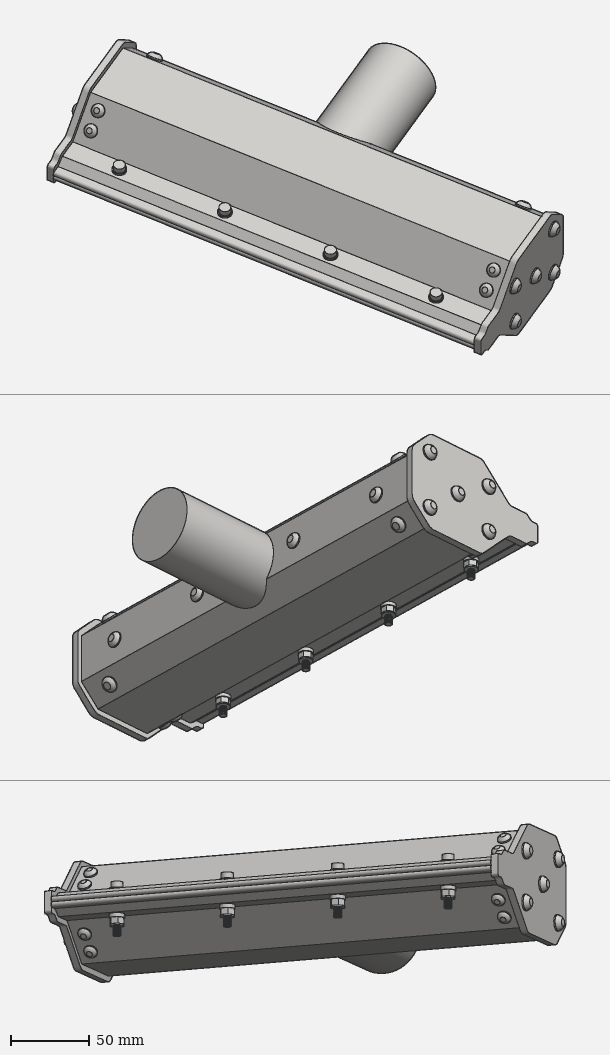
import cadquery as cq
import math

BODY_LENGTH = 304.5
PLATE_THICKNESS = 5.0
PLATE_TOP = 35.5
PLATE_BACK = 39.5
PLATE_TIP = -71.0
PLATE_FRONT_CORNER = -22.3
PLATE_BACK_CHAMFER = 16.0
PLATE_NECK_TOP = 11.3
PLATE_NECK_END = -61.3
PLATE_TIP_TOP = 7.5
PLATE_FILLET = 6.8
NECK_FILLET = 3.2
TIP_FILLET = 2.0

TOP_INSET = 4.0
BACK_INSET = 3.2
BODY_BACK_CORNER = 21.5
BODY_FRONT_CORNER = -21.5
BODY_NECK_TOP = 7.7
BODY_NECK_END = -59.5
LIP_START = -65.2
LIP_END = -71.5
LIP_THICKNESS = 3.5

PIPE_DIAMETER = 50.5
PIPE_END = 112.0

HEAD_DIAMETER = 10.5
SMALL_HEAD_DIAMETER = 9.0
HEAD_TOP_DIAMETER = 5.2
SMALL_HEAD_TOP_DIAMETER = 4.0
PLATE_HEAD_HEIGHT = 4.2
HEAD_HEIGHT = 3.5
SMALL_HEAD_HEIGHT = 3.2
HEAD_RIM = 1.0
DOME_BULGE = 0.25
HEAD_SINK = 0.5

BACK_SCREW_XS = (-121.0, -44.5, 44.5, 121.0)
BACK_CHAMFER_SCREW_X = 133.5
FRONT_SCREW_X = 143.3
FRONT_SCREW_PITCH = 9.7
FRONT_SCREW_RISE = 0.5
PLATE_SCREWS = ((0, 0), (24.5, 20.5), (24.5, -20.5), (-27.0, 16.8), (-27.0, -16.8))

BOLT_PITCH = 76.5
BOLT_COUNT = 4
BOLT_Y = -52.5
BOLT_FLANGE_DIAMETER = 9.5
BOLT_FLANGE_HEIGHT = 1.3
BOLT_HEAD_DIAMETER = 7.7
BOLT_TOP = 13.0
WASHER_DIAMETER = 10.0
WASHER_HEIGHT = 2.5
NUT_WIDTH = 8.5
NUT_BOTTOM = -14.5
NUT_COLLAR_HEIGHT = 1.0
NUT_COLLAR_DIAMETER = 9.0
STUD_DIAMETER = 5.2
STUD_BOTTOM = -22.0
THREAD_PITCH = 1.0
THREAD_DEPTH = 0.5

BODY_TOP = PLATE_TOP - TOP_INSET
BODY_BACK = PLATE_BACK - BACK_INSET
HALF_BODY = BODY_LENGTH / 2
PLATE_OUTER_X = HALF_BODY + PLATE_THICKNESS


def mirrored_outline(upper):
    """Close an upper half outline of (y, z) points with its reflection in Z = 0."""
    return upper + [(y, -z) for y, z in reversed(upper)]


def prism(outline, start_x, length):
    """Extrude a (y, z) outline along +X."""
    return cq.Workplane("YZ", origin=(start_x, 0, 0)).polyline(outline).close().extrude(length)


def end_plate(start_x):
    """Bottle-shaped end plate with rounded corners."""
    corner_groups = (
        (PLATE_FILLET, ((PLATE_BACK, PLATE_TOP - PLATE_BACK_CHAMFER),
                        (PLATE_BACK - PLATE_BACK_CHAMFER, PLATE_TOP),
                        (PLATE_FRONT_CORNER, PLATE_TOP))),
        (NECK_FILLET, ((PLATE_FRONT_CORNER - PLATE_TOP + PLATE_NECK_TOP, PLATE_NECK_TOP),
                       (PLATE_NECK_END, PLATE_NECK_TOP),
                       (PLATE_NECK_END - PLATE_NECK_TOP + PLATE_TIP_TOP, PLATE_TIP_TOP))),
        (TIP_FILLET, ((PLATE_TIP, PLATE_TIP_TOP),)),
    )
    upper = [corner for _, corners in corner_groups for corner in corners]
    plate = prism(mirrored_outline(upper), start_x, PLATE_THICKNESS)
    reach = 0.3
    for radius, corners in corner_groups:
        for y, z in corners:
            for side in (1, -1):
                near = cq.selectors.BoxSelector(
                    (start_x - reach, y - reach, side * z - reach),
                    (start_x + PLATE_THICKNESS + reach, y + reach, side * z + reach),
                )
                plate = plate.edges("|X").edges(near).fillet(radius)
    return plate


def body():
    """Duct with a flat neck that tapers to two round-ended lips meeting at Z = 0."""
    chamfer = BODY_BACK - BODY_BACK_CORNER
    upper = [
        (BODY_BACK, BODY_TOP - chamfer),
        (BODY_BACK_CORNER, BODY_TOP),
        (BODY_FRONT_CORNER, BODY_TOP),
        (BODY_FRONT_CORNER - BODY_TOP + BODY_NECK_TOP, BODY_NECK_TOP),
        (BODY_NECK_END, BODY_NECK_TOP),
        (LIP_START, LIP_THICKNESS),
    ]
    radius = LIP_THICKNESS / 2
    tangent_y = LIP_END + radius
    outline = cq.Workplane("YZ", origin=(-HALF_BODY, 0, 0)).polyline(upper)
    outline = outline.lineTo(tangent_y, LIP_THICKNESS)
    outline = outline.threePointArc((LIP_END, radius), (tangent_y, 0))
    outline = outline.threePointArc((LIP_END, -radius), (tangent_y, -LIP_THICKNESS))
    for y, z in reversed(upper):
        outline = outline.lineTo(y, -z)
    return outline.close().extrude(BODY_LENGTH)


def pipe():
    """Round feed pipe running into the back of the duct."""
    return cq.Workplane("XZ").circle(PIPE_DIAMETER / 2).extrude(-PIPE_END)


def button_head(base, normal, diameter, top_diameter, height):
    """Domed screw head standing on the point base along normal."""
    rim = diameter / 2
    top = top_diameter / 2
    shoulder = ((rim + top) / 2 + DOME_BULGE, (HEAD_RIM + height) / 2 + DOME_BULGE)
    head = (
        cq.Workplane("XZ")
        .moveTo(0, -HEAD_SINK)
        .lineTo(rim, -HEAD_SINK)
        .lineTo(rim, HEAD_RIM)
        .threePointArc(shoulder, (top, height))
        .lineTo(0, height)
        .close()
        .revolve(360, (0, 0, 0), (0, 1, 0))
    )
    frame = cq.Plane(origin=base, normal=normal)
    return head.val().moved(frame.location)


def plate_screws():
    """Screws on the outer face of both end plates."""
    return [
        button_head(
            (side * PLATE_OUTER_X, y, z), (side, 0, 0), HEAD_DIAMETER, HEAD_TOP_DIAMETER, PLATE_HEAD_HEIGHT
        )
        for side in (1, -1)
        for y, z in PLATE_SCREWS
    ]


def duct_screws():
    """Screws on the back wall and on the sloping walls of the duct."""
    heads = [
        button_head((x, BODY_BACK, 0), (0, 1, 0), HEAD_DIAMETER, HEAD_TOP_DIAMETER, HEAD_HEIGHT)
        for x in BACK_SCREW_XS
    ]
    half_chamfer = (BODY_BACK - BODY_BACK_CORNER) / 2
    front_pair_drop = (BODY_TOP - BODY_NECK_TOP) / 2 - FRONT_SCREW_RISE
    front_pair_y = BODY_FRONT_CORNER - front_pair_drop
    front_pair_z = BODY_TOP - front_pair_drop
    for side in (1, -1):
        for up in (1, -1):
            back_z = up * (BODY_TOP - half_chamfer)
            back_base = (side * BACK_CHAMFER_SCREW_X, BODY_BACK - half_chamfer, back_z)
            heads.append(button_head(back_base, (0, 1, up), HEAD_DIAMETER, HEAD_TOP_DIAMETER, HEAD_HEIGHT))
            for shift in (FRONT_SCREW_PITCH / 2, -FRONT_SCREW_PITCH / 2):
                base = (side * FRONT_SCREW_X, front_pair_y + shift, up * (front_pair_z + shift))
                heads.append(button_head(
                    base, (0, -1, up), SMALL_HEAD_DIAMETER, SMALL_HEAD_TOP_DIAMETER, SMALL_HEAD_HEIGHT
                ))
    return heads


def disc(x, diameter, bottom, top):
    """Upright cylinder on the bolt line between two heights."""
    return cq.Workplane("XY", origin=(x, BOLT_Y, bottom)).circle(diameter / 2).extrude(top - bottom)


def threaded_stud(x):
    """Stud from inside the neck down to its free end, with ring ridges standing for the thread."""
    core = STUD_DIAMETER / 2 - THREAD_DEPTH
    collar_bottom = NUT_BOTTOM - NUT_COLLAR_HEIGHT
    ridges = math.floor((collar_bottom - STUD_BOTTOM) / THREAD_PITCH)
    profile = cq.Workplane("XZ", origin=(x, BOLT_Y, STUD_BOTTOM)).lineTo(core, 0)
    for ridge in range(ridges):
        profile = profile.lineTo(STUD_DIAMETER / 2, (ridge + 0.5) * THREAD_PITCH)
        profile = profile.lineTo(core, (ridge + 1) * THREAD_PITCH)
    profile = profile.lineTo(core, -STUD_BOTTOM).lineTo(0, -STUD_BOTTOM).close()
    return profile.revolve(360, (0, 0, 0), (0, 1, 0))


def neck_bolt(x):
    """Bolt through the neck: flanged head above, washer, collared nut and stud end below."""
    washer_bottom = -BODY_NECK_TOP - WASHER_HEIGHT
    nut = (
        cq.Workplane("XY", origin=(x, BOLT_Y, NUT_BOTTOM))
        .polygon(6, NUT_WIDTH / math.cos(math.pi / 6))
        .extrude(washer_bottom - NUT_BOTTOM)
    )
    return (
        threaded_stud(x)
        .union(disc(x, BOLT_FLANGE_DIAMETER, 0, BODY_NECK_TOP + BOLT_FLANGE_HEIGHT))
        .union(disc(x, BOLT_HEAD_DIAMETER, 0, BOLT_TOP))
        .union(disc(x, WASHER_DIAMETER, washer_bottom, 0))
        .union(nut)
        .union(disc(x, NUT_COLLAR_DIAMETER, NUT_BOTTOM - NUT_COLLAR_HEIGHT, NUT_BOTTOM))
    )


result = body().union(pipe())
for plate_start in (-PLATE_OUTER_X, HALF_BODY):
    result = result.union(end_plate(plate_start))
for head in plate_screws() + duct_screws():
    result = result.union(cq.Workplane(head))
for index in range(BOLT_COUNT):
    result = result.union(neck_bolt((index - (BOLT_COUNT - 1) / 2) * BOLT_PITCH))